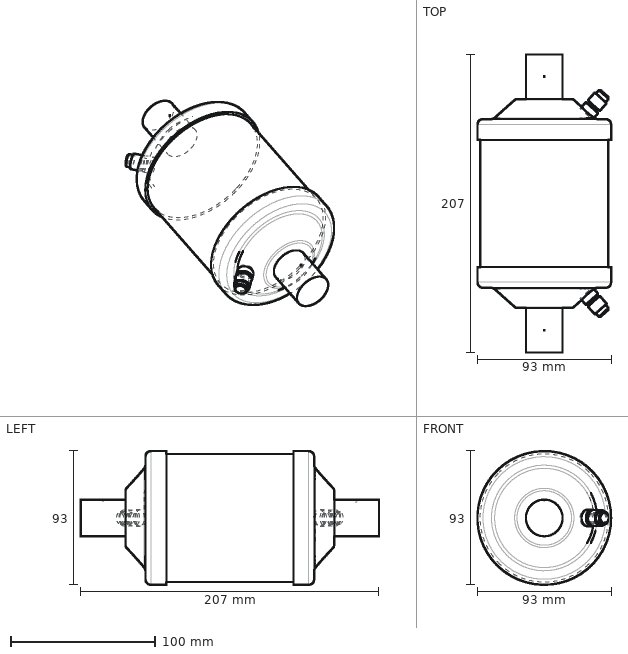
import cadquery as cq
import math

length = 207.0
tube_diameter = 25.5
shell_radius = 44.5
cap_diameter = 93.0
cap_edge_y = 44.0
cap_face_y = 58.5
cap_rounding = 4.0
cone_top_y = 72.5
cone_top_radius = 19.9
cone_base_radius = 35.5
cone_top_rounding = 2.5
cone_base_rounding = 3.3
half_length = length / 2
tube_radius = tube_diameter / 2
cap_radius = cap_diameter / 2

pinhole_diameter = 0.6
pinhole_depth = 2.0
pinhole_y = (cone_top_y + half_length) / 2

valve_x = 30.2
foot_depth = 1.7
foot_radius = 5.8
foot_height = 4.3
neck_radius = 4.0
neck_length = 1.9
barrel_radius = 5.5
barrel_length = 7.2
tip_radius = 4.5
tip_length = 4.0
tip_chamfer = 0.8

match_tolerance = 0.02

cone_drop = cone_top_y - cap_face_y
cone_spread = cone_base_radius - cone_top_radius
valve_y = cone_top_y - (valve_x - cone_top_radius) * cone_drop / cone_spread
valve_angle = math.degrees(math.atan2(cone_spread, cone_drop))


def round_edge(solid, radius, y, rounding):
    """Fillet the two circular edges of this radius at +y and -y."""
    rings = [
        edge for edge in solid.edges("%CIRCLE").vals()
        if abs(edge.radius() - radius) < match_tolerance
        and abs(abs(edge.Center().y) - y) < match_tolerance
    ]
    return solid.newObject(rings).fillet(rounding)


def make_housing():
    """Shell, two end caps, cones and tubes, revolved as one solid."""
    upper_half = [
        (shell_radius, cap_edge_y),
        (cap_radius, cap_edge_y),
        (cap_radius, cap_face_y),
        (cone_base_radius, cap_face_y),
        (cone_top_radius, cone_top_y),
        (tube_radius, cone_top_y),
        (tube_radius, half_length),
        (0, half_length),
    ]
    lower_half = [(x, -y) for x, y in reversed(upper_half)]
    housing = cq.Workplane("XY").polyline(lower_half + upper_half).close()
    housing = housing.revolve(360, (0, 0, 0), (0, 1, 0))
    housing = round_edge(housing, cap_radius, cap_face_y, cap_rounding)
    housing = round_edge(housing, cone_base_radius, cap_face_y, cone_base_rounding)
    return round_edge(housing, cone_top_radius, cone_top_y, cone_top_rounding)


def drill_pinholes(housing):
    """Small blind hole in the +Z side of each tube."""
    drill = (
        cq.Workplane("XY", origin=(0, 0, tube_radius - pinhole_depth))
        .pushPoints([(0, pinhole_y), (0, -pinhole_y)])
        .circle(pinhole_diameter / 2)
        .extrude(2 * pinhole_depth)
    )
    return housing.cut(drill)


def make_valve(side):
    """Stepped valve on the cone at the +Y (side = 1) or -Y (side = -1) end."""
    neck_start = foot_height
    barrel_start = neck_start + neck_length
    tip_start = barrel_start + barrel_length
    tip_end = tip_start + tip_length
    profile = [
        (-foot_depth, 0),
        (-foot_depth, foot_radius),
        (neck_start, foot_radius),
        (neck_start, neck_radius),
        (barrel_start, neck_radius),
        (barrel_start, barrel_radius),
        (tip_start, barrel_radius),
        (tip_start, tip_radius),
        (tip_end - tip_chamfer, tip_radius),
        (tip_end, tip_radius - tip_chamfer),
        (tip_end, 0),
    ]
    valve = cq.Workplane("XY").polyline(profile).close().revolve(360, (0, 0, 0), (1, 0, 0))
    valve = valve.rotate((0, 0, 0), (0, 0, 1), side * valve_angle)
    return valve.translate((valve_x, side * valve_y, 0))


housing = drill_pinholes(make_housing())
valves = []
for side in (1, -1):
    valve = make_valve(side)
    housing = housing.cut(valve)
    valves.append(valve.val())

result = cq.Compound.makeCompound([*housing.vals(), *valves])